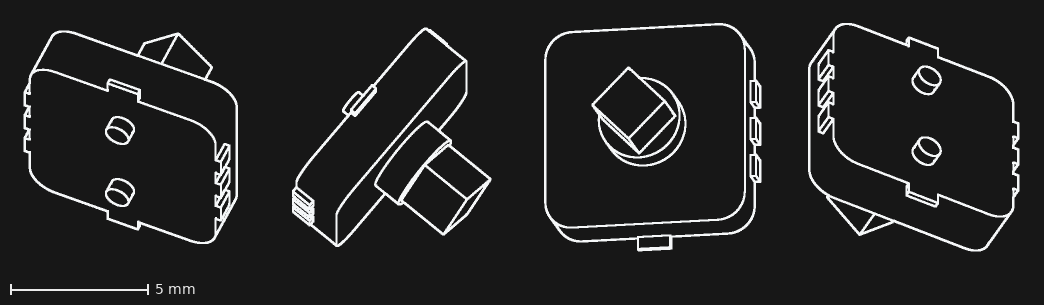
import cadquery as cq

housing_side = 7.4
housing_depth = 1.9
housing_corner_radius = 1.0

collar_diameter = 3.0
collar_length = 1.1
stem_side = 1.9
stem_length = 2.0
stem_turn = 45.0

peg_diameter = 0.9
peg_length = 0.5
peg_spacing = 3.8

terminal_height = 0.8
terminal_depth = 0.8
terminal_pitch = 1.4
terminals_per_side = 3
overall_width = 7.8

lug_width = 1.2
lug_thickness = 0.2
overall_height = 8.3


def box_from_mounting_face(width, depth, height):
    """Box centred in X and Z that runs from Y = 0 to Y = depth."""
    return cq.Workplane("XY").box(width, depth, height, centered=(True, False, True))


def cylinder_along_y(diameter, start_y, length):
    """Cylinder on the Y axis that starts at start_y and runs toward +Y."""
    return cq.Workplane("XZ", origin=(0, start_y, 0)).circle(diameter / 2).extrude(-length)


def make_housing():
    block = box_from_mounting_face(housing_side, housing_depth, housing_side)
    return block.edges("|Y").fillet(housing_corner_radius)


def make_shaft():
    collar = cylinder_along_y(collar_diameter, housing_depth, collar_length)
    stem_start = housing_depth + collar_length
    stem = (
        box_from_mounting_face(stem_side, stem_length, stem_side)
        .rotate((0, 0, 0), (0, 1, 0), stem_turn)
        .translate((0, stem_start, 0))
    )
    return collar.union(stem)


def add_pegs(part):
    peg = cylinder_along_y(peg_diameter, -peg_length, peg_length)
    for side in (-1, 1):
        part = part.union(peg.translate((0, 0, side * peg_spacing / 2)))
    return part


def add_terminals(part):
    bar = box_from_mounting_face(overall_width, terminal_depth, terminal_height)
    for index in range(terminals_per_side):
        z = (index - (terminals_per_side - 1) / 2) * terminal_pitch
        part = part.union(bar.translate((0, 0, z)))
    return part


def add_lugs(part):
    return part.union(box_from_mounting_face(lug_width, lug_thickness, overall_height))


result = make_housing().union(make_shaft())
result = add_pegs(result)
result = add_terminals(result)
result = add_lugs(result)